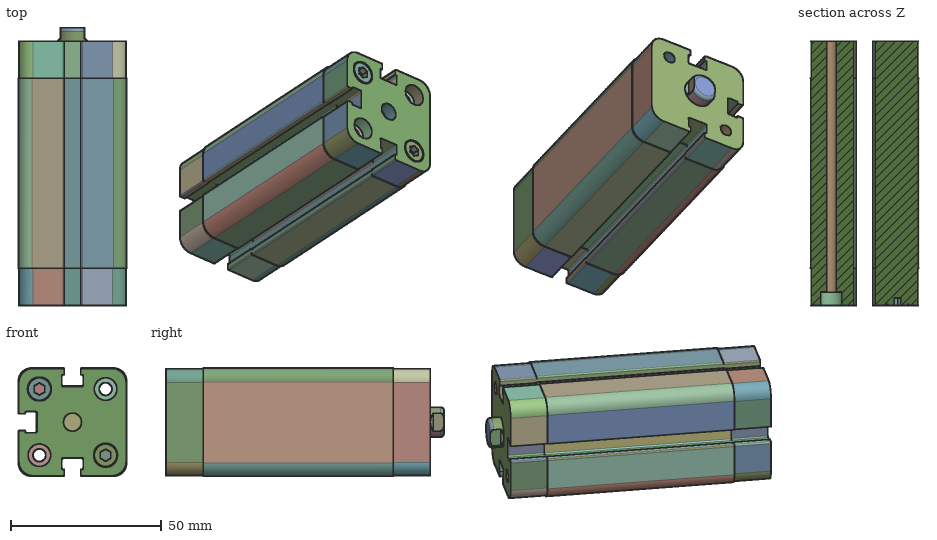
import cadquery as cq
import math


total_length = 92.5
rod_length = 4.5
cap_length = 12.4
housing_length = total_length - rod_length
tube_length = housing_length - 2 * cap_length

tube_side = 36.1
cap_side = 35.6
corner_radius = 4.5

slot_opening = 5.5
slot_width = 7.0
slot_depth = 6.0
lip_depth = 2.1
mouth_radius = 0.5
chamber_radius = 0.5
slot_angles = (0, 90, 180)

bolt_offset = 11.0
bolt_hole_diameter = 4.2
counterbore_diameter = 7.5
counterbore_depth = 4.5
screw_bore_diameter = 8.0
screw_head_diameter = 7.5
screw_gap_depth = 0.5
hex_across_flats = 3.5
hex_depth = 2.5
center_hole_diameter = 6.0
center_hole_depth = 5.0

rod_diameter = 10.0
rod_flats = 8.05
rod_end_radius = 1.2


def slot_cutter(side, length):
    """T-slot along +Y that cuts into the top of a square bar of the given side."""
    top = side / 2
    floor = top - slot_depth
    lip = top - lip_depth
    half_opening = slot_opening / 2
    half_mouth = half_opening + mouth_radius
    arc_inset = mouth_radius * (1 - math.sqrt(0.5))
    mouth = (
        cq.Workplane("XZ")
        .moveTo(-half_opening, floor)
        .lineTo(-half_opening, top - mouth_radius)
        .threePointArc((-half_opening - arc_inset, top - arc_inset), (-half_mouth, top))
        .lineTo(half_mouth, top)
        .threePointArc((half_opening + arc_inset, top - arc_inset), (half_opening, top - mouth_radius))
        .lineTo(half_opening, floor)
        .close()
        .extrude(-length)
    )
    chamber = (
        cq.Workplane("XZ")
        .center(0, (floor + lip) / 2)
        .rect(slot_width, lip - floor)
        .extrude(-length)
        .edges("|Y")
        .fillet(chamber_radius)
    )
    return chamber.union(mouth)


def slotted_block(side, start, length):
    """Rounded square bar along +Y with a T-slot on three of its sides."""
    block = (
        cq.Workplane("XZ")
        .rect(side, side)
        .extrude(-length)
        .edges("|Y")
        .fillet(corner_radius)
    )
    slot = slot_cutter(side, length)
    for angle in slot_angles:
        block = block.cut(slot.rotate((0, 0, 0), (0, -1, 0), angle))
    return block.translate((0, start, 0))


def front_cylinder(x, z, diameter, depth):
    """Cylinder running from the front face into the part."""
    return cq.Workplane("XZ").center(x, z).circle(diameter / 2).extrude(-depth)


def bolt_hole(x, z):
    """Through hole with a counterbore at the front."""
    hole = front_cylinder(x, z, bolt_hole_diameter, housing_length)
    return hole.union(front_cylinder(x, z, counterbore_diameter, counterbore_depth))


def screw_recess(x, z):
    """Gap around a flush screw head, and the hexagon socket in the head."""
    bore = front_cylinder(x, z, screw_bore_diameter, screw_gap_depth)
    gap = bore.cut(front_cylinder(x, z, screw_head_diameter, screw_gap_depth))
    hex_across_corners = hex_across_flats / math.cos(math.pi / 6)
    socket = (
        cq.Workplane("XZ")
        .polygon(6, hex_across_corners)
        .extrude(-hex_depth)
        .rotate((0, 0, 0), (0, 1, 0), 30)
        .translate((x, 0, z))
    )
    return gap.union(socket)


def piston_rod():
    """Rounded rod end with two wrench flats that run out at 45 degrees."""
    rod_radius = rod_diameter / 2
    rod = (
        cq.Workplane("XZ", origin=(0, housing_length, 0))
        .circle(rod_radius)
        .extrude(-rod_length)
        .faces(">Y")
        .edges()
        .fillet(rod_end_radius)
    )
    half_flats = rod_flats / 2
    run_out = rod_radius - half_flats
    flats_envelope = (
        cq.Workplane("XY")
        .moveTo(-rod_radius, housing_length)
        .lineTo(rod_radius, housing_length)
        .lineTo(half_flats, housing_length + run_out)
        .lineTo(half_flats, total_length)
        .lineTo(-half_flats, total_length)
        .lineTo(-half_flats, housing_length + run_out)
        .close()
        .extrude(rod_radius, both=True)
    )
    return rod.intersect(flats_envelope)


result = slotted_block(cap_side, 0, cap_length)
result = result.union(slotted_block(tube_side, cap_length, tube_length))
result = result.union(slotted_block(cap_side, cap_length + tube_length, cap_length))
result = result.union(piston_rod())

for direction in (-1, 1):
    x = direction * bolt_offset
    result = result.cut(bolt_hole(x, x))
    result = result.cut(screw_recess(x, -x))

result = result.cut(front_cylinder(0, 0, center_hole_diameter, center_hole_depth))